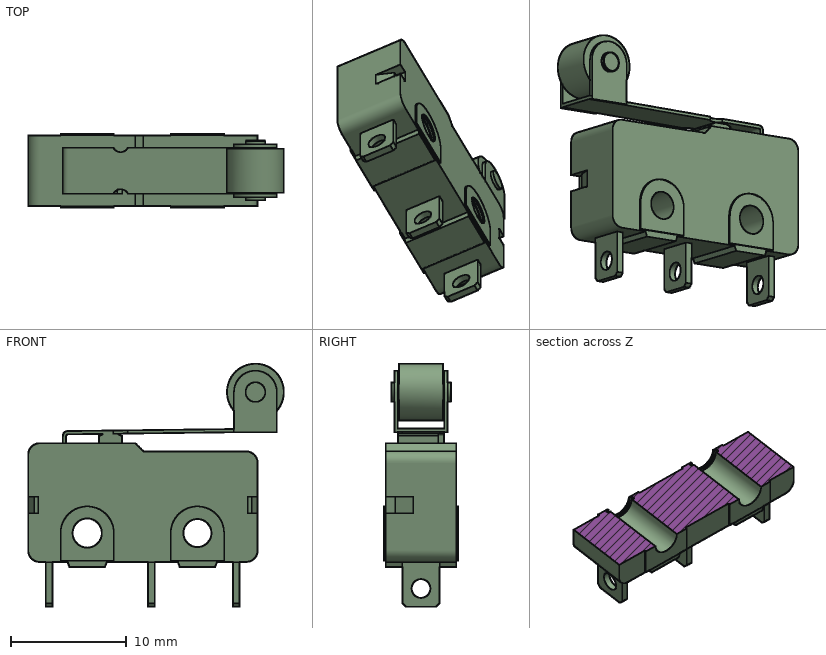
import cadquery as cq
import math


BODY_LEFT = -5.1
BODY_LENGTH = 19.8
BODY_RIGHT = BODY_LEFT + BODY_LENGTH
BODY_WIDTH = 6.1
BODY_BOTTOM = -2.5
BODY_TOP = 7.75
LOW_TOP = 7.05
STEP_START_X = 4.15
STEP_END_X = STEP_START_X + BODY_TOP - LOW_TOP
CORNER_RADIUS = 1.0
FRONT_Y = -BODY_WIDTH / 2

HOLE_SPACING = 9.5
HOLE_DIAMETERS = {0: 2.5, HOLE_SPACING: 2.4}
GROOVE_WIDTH = 0.25
GROOVE_DEPTH = 0.25
PAD_RADIUS = 2.3
PAD_BOTTOM = -2.37
PAD_HEIGHT = 0.15
FOOT_TOP_HALF = 1.7
FOOT_BOTTOM_HALF = 1.53
FOOT_HEIGHT = 0.43

NOTCH_BOTTOM = 1.7
NOTCH_HEIGHT = 1.43
NOTCH_DEPTH = 0.87
RAMP_DEPTH = 0.52
RAMP_START_Y = -0.67
RAMP_END_Y = -2.2

TERMINAL_XS = (-3.29, 5.53, 12.85)
TERMINAL_THICKNESS = 0.6
TERMINAL_WIDTH = 3.2
TERMINAL_BOTTOM = -6.36
TERMINAL_CHAMFER = 0.3
TERMINAL_HOLE_DIAMETER = 1.6
TERMINAL_HOLE_Z = -4.78

ROLLER_X = 14.5
ROLLER_DIAMETER = 4.92
ROLLER_Z = 12.15
ROLLER_WIDTH = 3.8
PIN_DIAMETER = 1.4
HEAD_DIAMETER = 1.7
HEAD_SPAN = 5.1
TAIL_DIAMETER = 1.6
TAIL_LENGTH = 0.07

LEVER_WIDTH = 4.0
SHEET = 0.3
LEVER_LEFT = -2.11
LEVER_HEEL_TOP = 8.8
LEVER_SLOPE = math.radians(0.7)
BEND_RADIUS = 0.45
RELIEF_X = 2.88
RELIEF_DIAMETER = 1.4
RELIEF_DEPTH = 0.4
LUG_RADIUS = 3.7 / 2
LUG_BOTTOM = 8.68
LEVER_RIGHT = ROLLER_X + LUG_RADIUS

PLUNGER_LEFT = 1.0
PLUNGER_LENGTH = 2.0
PLUNGER_FRONT_Y = -2.0
PLUNGER_WIDTH = 3.5
PLUNGER_TOP = 8.56
PLUNGER_CHAMFER_LENGTH = 0.4
PLUNGER_CHAMFER_HEIGHT = 0.19

EMBED = 0.5


def extrude_y(sketch, width, center_y=0):
    """Extrude an XZ sketch to a width centred on center_y."""
    return sketch.extrude(width).translate((0, center_y + width / 2, 0))


def xz():
    """Workplane for outlines seen along Y."""
    return cq.Workplane("XZ")


def cylinder_y(x, z, diameter, width, center_y=0):
    return extrude_y(xz().center(x, z).circle(diameter / 2), width, center_y)


def make_housing():
    outline = (
        xz()
        .moveTo(BODY_LEFT, BODY_BOTTOM)
        .lineTo(BODY_RIGHT, BODY_BOTTOM)
        .lineTo(BODY_RIGHT, LOW_TOP)
        .lineTo(STEP_END_X, LOW_TOP)
        .lineTo(STEP_START_X, BODY_TOP)
        .lineTo(BODY_LEFT, BODY_TOP)
        .close()
    )
    body = extrude_y(outline, BODY_WIDTH)
    return body.edges("|Y and (<X or >X)").fillet(CORNER_RADIUS)


def make_notch(end_x, inward):
    """Cutter for one end; inward is +1 or -1 along X."""
    return (
        cq.Workplane("XY")
        .workplane(offset=NOTCH_BOTTOM)
        .moveTo(end_x, FRONT_Y)
        .lineTo(end_x + inward * NOTCH_DEPTH, FRONT_Y)
        .lineTo(end_x + inward * NOTCH_DEPTH, RAMP_END_Y)
        .lineTo(end_x + inward * RAMP_DEPTH, RAMP_END_Y)
        .lineTo(end_x, RAMP_START_Y)
        .close()
        .extrude(NOTCH_HEIGHT)
    )


def make_arch(x, z, radius, bottom):
    """Sketch with straight sides, a flat bottom and a half-round top centred on (x, z)."""
    return (
        xz()
        .moveTo(x - radius, bottom)
        .lineTo(x + radius, bottom)
        .lineTo(x + radius, z)
        .threePointArc((x, z + radius), (x - radius, z))
        .close()
    )


def make_pads(x):
    return extrude_y(make_arch(x, 0, PAD_RADIUS, PAD_BOTTOM), BODY_WIDTH + 2 * PAD_HEIGHT)


def make_mounting_hole(x, diameter):
    """Cutter for a through hole with a ring groove just behind its front pad."""
    bore = cylinder_y(x, 0, diameter, 2 * BODY_WIDTH)
    groove_y = FRONT_Y + GROOVE_WIDTH / 2
    groove = cylinder_y(x, 0, diameter + 2 * GROOVE_DEPTH, GROOVE_WIDTH, groove_y)
    return bore.union(groove)


def make_foot(x):
    outline = (
        xz()
        .moveTo(x - FOOT_TOP_HALF, BODY_BOTTOM)
        .lineTo(x - FOOT_BOTTOM_HALF, BODY_BOTTOM - FOOT_HEIGHT)
        .lineTo(x + FOOT_BOTTOM_HALF, BODY_BOTTOM - FOOT_HEIGHT)
        .lineTo(x + FOOT_TOP_HALF, BODY_BOTTOM)
        .close()
    )
    return extrude_y(outline, BODY_WIDTH)


def make_terminal(x):
    height = BODY_BOTTOM + EMBED - TERMINAL_BOTTOM
    blade = (
        cq.Workplane("XY")
        .box(TERMINAL_THICKNESS, TERMINAL_WIDTH, height, centered=(True, True, False))
        .edges("|X and <Z")
        .chamfer(TERMINAL_CHAMFER)
        .translate((x, 0, TERMINAL_BOTTOM))
    )
    hole = (
        cq.Workplane("YZ")
        .center(0, TERMINAL_HOLE_Z)
        .circle(TERMINAL_HOLE_DIAMETER / 2)
        .extrude(TERMINAL_THICKNESS, both=True)
        .translate((x, 0, 0))
    )
    return blade.cut(hole)


def make_plunger():
    right = PLUNGER_LEFT + PLUNGER_LENGTH
    shoulder = PLUNGER_TOP - PLUNGER_CHAMFER_HEIGHT
    outline = (
        xz()
        .moveTo(PLUNGER_LEFT, BODY_TOP - EMBED)
        .lineTo(right, BODY_TOP - EMBED)
        .lineTo(right, shoulder)
        .lineTo(right - PLUNGER_CHAMFER_LENGTH, PLUNGER_TOP)
        .lineTo(PLUNGER_LEFT + PLUNGER_CHAMFER_LENGTH, PLUNGER_TOP)
        .lineTo(PLUNGER_LEFT, shoulder)
        .close()
    )
    return extrude_y(outline, PLUNGER_WIDTH, PLUNGER_FRONT_Y + PLUNGER_WIDTH / 2)


def make_lever():
    """Bent sheet: a short leg in the housing and a long, slightly rising arm."""
    rise = (LEVER_RIGHT - LEVER_LEFT) * math.tan(LEVER_SLOPE)
    outline = (
        xz()
        .moveTo(LEVER_LEFT, BODY_TOP - EMBED)
        .lineTo(LEVER_LEFT, LEVER_HEEL_TOP)
        .lineTo(LEVER_RIGHT, LEVER_HEEL_TOP + rise)
        .lineTo(LEVER_RIGHT, LEVER_HEEL_TOP + rise - SHEET)
        .lineTo(LEVER_LEFT + SHEET, LEVER_HEEL_TOP - SHEET)
        .lineTo(LEVER_LEFT + SHEET, BODY_TOP - EMBED)
        .close()
    )
    lever = extrude_y(outline, LEVER_WIDTH)
    outer_corner = cq.selectors.NearestToPointSelector((LEVER_LEFT, 0, LEVER_HEEL_TOP))
    lever = lever.edges(outer_corner).fillet(BEND_RADIUS)
    inner_corner = cq.selectors.NearestToPointSelector(
        (LEVER_LEFT + SHEET, 0, LEVER_HEEL_TOP - SHEET)
    )
    lever = lever.edges(inner_corner).fillet(BEND_RADIUS - SHEET)

    relief_y = LEVER_WIDTH / 2 - RELIEF_DEPTH + RELIEF_DIAMETER / 2
    reliefs = (
        cq.Workplane("XY")
        .workplane(offset=BODY_TOP)
        .pushPoints([(RELIEF_X, -relief_y), (RELIEF_X, relief_y)])
        .circle(RELIEF_DIAMETER / 2)
        .extrude(LEVER_HEEL_TOP + rise - BODY_TOP)
    )
    return lever.cut(reliefs)


def make_lug(side):
    """Upright plate beside the lever; side is +1 or -1 along Y."""
    center_y = side * (LEVER_WIDTH + SHEET) / 2
    return extrude_y(make_arch(ROLLER_X, ROLLER_Z, LUG_RADIUS, LUG_BOTTOM), SHEET, center_y)


def make_roller():
    roller = cylinder_y(ROLLER_X, ROLLER_Z, ROLLER_DIAMETER, ROLLER_WIDTH)
    lug_span = LEVER_WIDTH + 2 * SHEET
    pin = cylinder_y(ROLLER_X, ROLLER_Z, PIN_DIAMETER, lug_span)
    head_length = (HEAD_SPAN - lug_span) / 2
    for side in (-1, 1):
        head_y = side * (HEAD_SPAN - head_length) / 2
        pin = pin.union(cylinder_y(ROLLER_X, ROLLER_Z, HEAD_DIAMETER, head_length, head_y))
    tail_y = (HEAD_SPAN + TAIL_LENGTH) / 2
    pin = pin.union(cylinder_y(ROLLER_X, ROLLER_Z, TAIL_DIAMETER, TAIL_LENGTH, tail_y))
    return roller.union(pin)


switch = make_housing()
switch = switch.cut(make_notch(BODY_LEFT, 1))
switch = switch.cut(make_notch(BODY_RIGHT, -1))

for hole_x in HOLE_DIAMETERS:
    switch = switch.union(make_pads(hole_x)).union(make_foot(hole_x))
for hole_x, hole_diameter in HOLE_DIAMETERS.items():
    switch = switch.cut(make_mounting_hole(hole_x, hole_diameter))

for terminal_x in TERMINAL_XS:
    switch = switch.union(make_terminal(terminal_x))

switch = switch.union(make_plunger()).union(make_lever())
for lug_side in (-1, 1):
    switch = switch.union(make_lug(lug_side))
switch = switch.union(make_roller())

result = switch